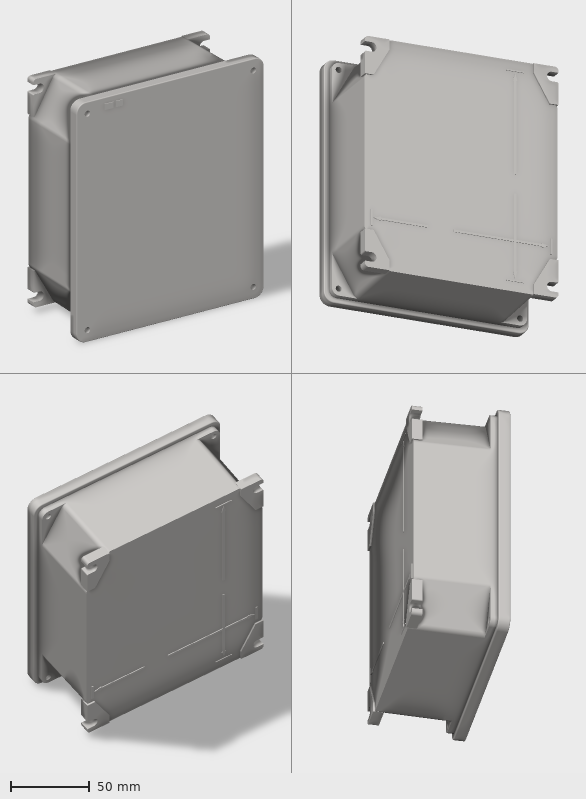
import cadquery as cq
import math


lid_size_y = 142.3
lid_size_z = 166.2
overall_x = 64.0
lid_back_x = 55.5
lid_front_x = 63.3
lid_corner_radius = 7.0
lid_edge_radius = 0.7

floor_x = 1.2
flange_back_x = 51.0
flange_inset = 3.3
flange_corner_radius = 5.2

foot_inset = 4.0
foot_thickness = 7.0
foot_corner_radius = 2.3
foot_reach_y = 21.1
foot_tip_y = 10.0
foot_shoulder_z = 10.6
foot_reach_z = 30.0

corner_cut_y = 19.6
corner_cut_z = 31.8
bevel_edge_radius = 4.2

slot_width = 6.5
slot_inset_y = 8.6
slot_inset_z = 11.1
slot_mouth_radius = 0.8

screw_hole_diameter = 4.2
screw_hole_inset = 8.1

mark_height = 0.5
mark_width = 1.5
mark_vertical_y = -37.4
mark_horizontal_z = -44.4
arrow_gap = 1.5
arrow_length = 5.2
arrow_half_width = 1.5
tick_length_y = 12.3
tick_length_z = 11.0
tick_thickness = 0.8
gap_horizontal = (5.2, 23.1)
gap_vertical = (-12.1, 1.3)

badge_y_ranges = ((-41.5, -36.4), (-50.0, -43.5))
badge_z_range = (74.6, 78.8)

half_y = lid_size_y / 2
half_z = lid_size_z / 2
slot_y = half_y - slot_inset_y
slot_z = half_z - slot_inset_z
box_depth = lid_back_x - floor_x
flange_thickness = lid_back_x - flange_back_x
draft_angle = math.degrees(math.atan((foot_inset - flange_inset) / box_depth))
corner_signs = [(1, 1), (-1, 1), (-1, -1), (1, -1)]


def at_x(x):
    """YZ workplane at the given X, extruding toward +X."""
    return cq.Workplane("YZ", origin=(x, 0, 0))


def drafted_block(outline, depth):
    """Block from the parting plane toward -X, narrowing by the draft angle."""
    rear_facing = cq.Plane(origin=(lid_back_x, 0, 0), xDir=(0, -1, 0), normal=(-1, 0, 0))
    return cq.Workplane(rear_facing).polyline(outline).close().extrude(depth, taper=draft_angle)


def badge(y_range):
    """Plain raised block on the lid front."""
    width = y_range[1] - y_range[0]
    height = badge_z_range[1] - badge_z_range[0]
    pad = at_x(lid_front_x).center(sum(y_range) / 2, sum(badge_z_range) / 2)
    return pad.rect(width, height).extrude(overall_x - lid_front_x)


def beveled_box():
    """Drafted box with its four corners beveled away, narrowing toward the rear."""
    y_out = half_y - flange_inset
    z_out = half_z - flange_inset
    y_cut = half_y - corner_cut_y
    z_cut = half_z - corner_cut_z
    outline = []
    for sign_y, sign_z in corner_signs:
        pair = [(sign_y * y_out, sign_z * z_cut), (sign_y * y_cut, sign_z * z_out)]
        outline += pair if sign_y * sign_z > 0 else pair[::-1]
    box = drafted_block(outline, box_depth)
    return box.edges("not(<X or >X)").fillet(bevel_edge_radius)


def flange():
    """Rounded rim in line with the box walls, closing the corners in front of the bevels."""
    y_out = half_y - flange_inset
    z_out = half_z - flange_inset
    outline = [(sign_y * y_out, sign_z * z_out) for sign_y, sign_z in corner_signs]
    rim = drafted_block(outline, flange_thickness)
    return rim.edges("not(<X or >X)").fillet(flange_corner_radius)


def foot():
    """Slotted foot at the +Y +Z corner."""
    y_out = half_y - foot_inset
    z_out = half_z - foot_inset
    outline = [
        (y_out, z_out),
        (half_y - foot_reach_y, z_out),
        (half_y - foot_reach_y, half_z - foot_shoulder_z),
        (half_y - foot_tip_y, half_z - foot_reach_z),
        (y_out, half_z - foot_reach_z),
    ]
    plate = at_x(0).polyline(outline).close().extrude(foot_thickness)
    plate = plate.edges("|X and >Y and >Z").fillet(foot_corner_radius)
    slot_end = at_x(0).center(slot_y, slot_z).circle(slot_width / 2).extrude(foot_thickness)
    mouth = at_x(0).center(slot_y + slot_inset_y / 2, slot_z)
    mouth = mouth.rect(slot_inset_y, slot_width).extrude(foot_thickness)
    plate = plate.cut(slot_end).cut(mouth)
    z_low = slot_z - slot_width / 2
    mouth_corner = cq.selectors.NearestToPointSelector((foot_thickness / 2, y_out, z_low))
    return plate.edges("|X").edges(mouth_corner).fillet(slot_mouth_radius)


def feet():
    corner_foot = foot()
    upper_pair = corner_foot.union(corner_foot.mirror("XZ"))
    return upper_pair.union(upper_pair.mirror("XY"))


def arrow_bar(length_start, length_end):
    """Bar along local +X with an arrowhead at its far end."""
    half_width = mark_width / 2
    head_start = length_end - arrow_length
    return [
        (length_start, -half_width),
        (head_start, -half_width),
        (head_start, -arrow_half_width),
        (length_end, 0),
        (head_start, arrow_half_width),
        (head_start, half_width),
        (length_start, half_width),
    ]


def gauge_marks():
    """Raised lines showing the slot pitch along Y and Z."""
    rear_x = floor_x - mark_height
    marks = cq.Workplane("YZ")
    for sign in (1, -1):
        start_y = gap_horizontal[1] if sign > 0 else -gap_horizontal[0]
        bar_y = [(sign * u, mark_horizontal_z + v) for u, v in arrow_bar(start_y, slot_y - arrow_gap)]
        start_z = gap_vertical[1] if sign > 0 else -gap_vertical[0]
        bar_z = [(mark_vertical_y + v, sign * u) for u, v in arrow_bar(start_z, slot_z - arrow_gap)]
        for bar in (bar_y, bar_z):
            marks = marks.union(at_x(rear_x).polyline(bar).close().extrude(mark_height))
        tick_y = at_x(rear_x).center(sign * slot_y, mark_horizontal_z)
        marks = marks.union(tick_y.rect(mark_width, tick_length_z).extrude(mark_height))
        tick_z = at_x(rear_x).center(mark_vertical_y, sign * slot_z)
        marks = marks.union(tick_z.rect(tick_length_y, tick_thickness).extrude(mark_height))
    return marks


def screw_holes():
    """Cylinders, one per corner, passing through both the flange and the lid."""
    hole_y = half_y - screw_hole_inset
    hole_z = half_z - screw_hole_inset
    spots = [(sign_y * hole_y, sign_z * hole_z) for sign_y, sign_z in corner_signs]
    holes = at_x(flange_back_x).pushPoints(spots).circle(screw_hole_diameter / 2)
    return holes.extrude(lid_front_x - flange_back_x)


def make_base():
    body = flange().union(beveled_box()).union(feet()).union(gauge_marks()).clean()
    return body.cut(screw_holes())


def make_lid():
    cover = at_x(lid_back_x).rect(lid_size_y, lid_size_z).extrude(lid_front_x - lid_back_x)
    cover = cover.edges("|X").fillet(lid_corner_radius)
    cover = cover.faces("<X or >X").edges().fillet(lid_edge_radius)
    for y_range in badge_y_ranges:
        cover = cover.union(badge(y_range))
    return cover.cut(screw_holes())


base = make_base()
lid = make_lid()
result = cq.Compound.makeCompound([base.val(), lid.val()])